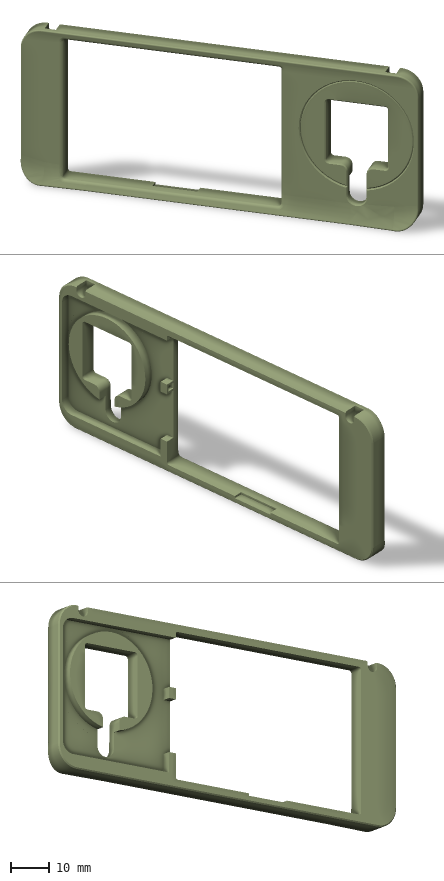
import cadquery as cq
import math


LENGTH = 109.0
HEIGHT = 44.6
DEPTH = 6.8
CORNER_RADIUS = 6.0
BACK_CHAMFER = 0.3
FRONT_FILLET = 0.3
BACK_Y = DEPTH / 2
BOTTOM_Z = -HEIGHT / 2
TOP_Z = HEIGHT / 2

TOLERANCE = 0.02

BODY_DEPTH = 5.0
PANEL_THICKNESS = 2.5
FRONT_Y = BACK_Y - BODY_DEPTH
PANEL_BACK_Y = FRONT_Y + PANEL_THICKNESS

FLARE_RADIUS = 11.7
FLARE_ANGLE = math.radians(40)
TOP_FLARE_Z = 19.2
BOTTOM_FLARE_STATIONS = [(36.0, -16.6), (48.0, -15.9), (LENGTH / 2, -14.7)]

WINDOW_LEFT = -43.0
WINDOW_RIGHT = 16.8
WINDOW_BOTTOM = -20.1
WINDOW_TOP = 20.2
WINDOW_CORNER_RADIUS = 0.7
WINDOW_FILLET = 1.0

LEDGE_RECESS_LEFT = -19.1
LEDGE_RECESS_RIGHT = -6.8
LEDGE_RECESS_DROP = 0.7

NOTCH_X = 46.7
NOTCH_WIDTH = 3.0
NOTCH_HEIGHT = 2.8
NOTCH_DEPTH = 3.9

POCKET_RIGHT = 53.2
POCKET_HALF_HEIGHT = 18.5
POCKET_CORNER_RADIUS = 3.3

TAB_WIDTH = 2.2
CORNER_TAB_TOP = -13.0
SIDE_TAB_BOTTOM = 1.7
SIDE_TAB_TOP = 4.8
SIDE_TAB_RIM = 0.7

DISC_X = 37.6
DISC_Z = 3.4
DISC_RADIUS = 15.6
DISC_SINK = 0.27
BOSS_RADIUS = 13.3

KEYHOLE_WIDTH = 17.0
KEYHOLE_BOTTOM = -5.7
KEYHOLE_TOP = 12.4
KEYHOLE_CORNER_RADIUS = 0.9
KEYHOLE_CHAMFER = 0.3
SLOT_WIDTH = 5.2
SLOT_BOTTOM = -16.8
SHOULDER_RADIUS = 1.9


def box(left, right, front, back, bottom, top):
    """Axis-aligned block given by its six limits."""
    size = (right - left, back - front, top - bottom)
    return cq.Workplane("XY").box(*size, centered=False).translate((left, front, bottom))


def flare_section(x, start_z, direction):
    """Closed YZ section of a lip: an arc that leaves the flat front and sweeps forward."""
    rise = FLARE_RADIUS * (1 - math.cos(FLARE_ANGLE))
    reach = FLARE_RADIUS * math.sin(FLARE_ANGLE)
    middle_rise = FLARE_RADIUS * (1 - math.cos(FLARE_ANGLE / 2))
    middle_reach = FLARE_RADIUS * math.sin(FLARE_ANGLE / 2)
    return (
        cq.Workplane("YZ", origin=(x, 0, 0))
        .moveTo(FRONT_Y, start_z)
        .threePointArc(
            (FRONT_Y - middle_rise, start_z + direction * middle_reach),
            (FRONT_Y - rise, start_z + direction * reach),
        )
        .lineTo(BACK_Y, start_z + direction * reach)
        .lineTo(BACK_Y, start_z)
        .close()
        .wires()
        .val()
    )


def make_flare(stations, direction):
    """Lip lofted straight through its stations of (x, z where the arc starts)."""
    sections = [flare_section(x, z, direction) for x, z in stations]
    return cq.Workplane(cq.Solid.makeLoft(sections, True))


def make_shell():
    """Rounded slab with flared lips, trimmed to the outline of the bezel."""
    outline = (
        cq.Workplane("XY").box(LENGTH, 2 * DEPTH, HEIGHT)
        .edges("|Y").fillet(CORNER_RADIUS)
    )
    left_stations = [(-x, z) for x, z in reversed(BOTTOM_FLARE_STATIONS)]
    top_stations = [(-LENGTH / 2, TOP_FLARE_Z), (LENGTH / 2, TOP_FLARE_Z)]
    slab = box(-LENGTH / 2, LENGTH / 2, FRONT_Y, BACK_Y, BOTTOM_Z, TOP_Z)
    slab = slab.union(make_flare(left_stations + BOTTOM_FLARE_STATIONS, -1))
    slab = slab.union(make_flare(top_stations, 1))
    return slab.intersect(outline)


def rounded_prism(left, right, bottom, top, radius):
    """Prism through the full depth with all four of its long edges rounded."""
    return box(left, right, -DEPTH, DEPTH, bottom, top).edges("|Y").fillet(radius)


def disc_cylinder(radius, front, back):
    """Cylinder on the disc axis between two depths."""
    return (
        cq.Workplane("XZ", origin=(DISC_X, front, DISC_Z))
        .circle(radius)
        .extrude(front - back)
    )


def make_window():
    """Display window opening."""
    return rounded_prism(WINDOW_LEFT, WINDOW_RIGHT, WINDOW_BOTTOM, WINDOW_TOP, WINDOW_CORNER_RADIUS)


def make_keyhole():
    """Rectangular opening with a round-ended slot below it."""
    half_width = KEYHOLE_WIDTH / 2
    half_slot = SLOT_WIDTH / 2
    rectangle = rounded_prism(
        DISC_X - half_width, DISC_X + half_width, KEYHOLE_BOTTOM, KEYHOLE_TOP, KEYHOLE_CORNER_RADIUS
    )
    slot = box(DISC_X - half_slot, DISC_X + half_slot, -DEPTH, DEPTH, SLOT_BOTTOM + half_slot, DISC_Z)
    slot_end = (
        cq.Workplane("XZ", origin=(DISC_X, -DEPTH, SLOT_BOTTOM + half_slot))
        .circle(half_slot)
        .extrude(-2 * DEPTH)
    )
    keyhole = rectangle.union(slot)
    shoulders = cq.selectors.BoxSelector(
        (DISC_X - half_slot - TOLERANCE, -2 * DEPTH, KEYHOLE_BOTTOM - TOLERANCE),
        (DISC_X + half_slot + TOLERANCE, 2 * DEPTH, KEYHOLE_BOTTOM + TOLERANCE),
    )
    return keyhole.edges("|Y").edges(shoulders).fillet(SHOULDER_RADIUS).union(slot_end)


def make_pocket():
    """Space behind the panel, less the tabs left standing at the window edge."""
    pocket = box(
        WINDOW_RIGHT, POCKET_RIGHT, PANEL_BACK_Y, BACK_Y, -POCKET_HALF_HEIGHT, POCKET_HALF_HEIGHT
    )
    pocket = pocket.edges("|Y and >X").fillet(POCKET_CORNER_RADIUS)
    tab_right = WINDOW_RIGHT + TAB_WIDTH
    corner_tab = box(WINDOW_RIGHT, tab_right, PANEL_BACK_Y, BACK_Y, BOTTOM_Z, CORNER_TAB_TOP)
    side_tab = box(WINDOW_RIGHT, tab_right, PANEL_BACK_Y, BACK_Y, SIDE_TAB_BOTTOM, SIDE_TAB_TOP)
    side_hollow = box(
        WINDOW_RIGHT,
        WINDOW_RIGHT + TAB_WIDTH / 2,
        PANEL_BACK_Y,
        BACK_Y - SIDE_TAB_RIM,
        SIDE_TAB_BOTTOM + SIDE_TAB_RIM,
        SIDE_TAB_TOP - SIDE_TAB_RIM,
    )
    return pocket.cut(corner_tab).cut(side_tab).union(side_hollow)


def make_notch(x):
    """Round-bottomed notch cut from the back into the top edge."""
    radius = NOTCH_WIDTH / 2
    return (
        cq.Workplane("XZ", origin=(x, BACK_Y, TOP_Z))
        .moveTo(-radius, 0)
        .lineTo(-radius, radius - NOTCH_HEIGHT)
        .threePointArc((0, -NOTCH_HEIGHT), (radius, radius - NOTCH_HEIGHT))
        .lineTo(radius, 0)
        .close()
        .extrude(NOTCH_DEPTH)
    )


def make_disc_rim():
    """Cone that chamfers the rim of the disc opening down to the sunken disc face."""
    return (
        cq.Workplane("XZ", origin=(DISC_X, FRONT_Y + DISC_SINK, DISC_Z))
        .circle(DISC_RADIUS)
        .workplane(offset=DISC_SINK)
        .circle(DISC_RADIUS + DISC_SINK)
        .loft()
    )


def on_front_rim(edge):
    """True for an edge that follows the outer outline along the front."""
    middle = edge.positionAt(0.5)
    beyond_x = max(abs(middle.x) - (LENGTH / 2 - CORNER_RADIUS), 0)
    beyond_z = max(abs(middle.z) - (HEIGHT / 2 - CORNER_RADIUS), 0)
    on_outline = math.hypot(beyond_x, beyond_z) > CORNER_RADIUS - TOLERANCE
    return on_outline and middle.y < FRONT_Y + TOLERANCE


def make_frame():
    """Bezel frame with its window, pocket, notches and opening for the disc."""
    frame = make_shell()
    frame = frame.faces(">Y").edges().chamfer(BACK_CHAMFER)
    front_rim = [edge for edge in frame.edges().vals() if on_front_rim(edge)]
    frame = frame.newObject(front_rim).fillet(FRONT_FILLET)
    frame = frame.cut(make_window())
    window_rim = cq.selectors.BoxSelector(
        (WINDOW_LEFT - TOLERANCE, -DEPTH, WINDOW_BOTTOM - TOLERANCE),
        (WINDOW_RIGHT + TOLERANCE, FRONT_Y + TOLERANCE, WINDOW_TOP + TOLERANCE),
    )
    frame = frame.edges(window_rim).fillet(WINDOW_FILLET)
    frame = frame.cut(make_pocket())
    for x in (-NOTCH_X, NOTCH_X):
        frame = frame.cut(make_notch(x))
    frame = frame.cut(box(
        LEDGE_RECESS_LEFT,
        LEDGE_RECESS_RIGHT,
        PANEL_BACK_Y,
        BACK_Y,
        WINDOW_BOTTOM - LEDGE_RECESS_DROP,
        WINDOW_BOTTOM,
    ))
    frame = frame.cut(disc_cylinder(DISC_RADIUS, FRONT_Y, PANEL_BACK_Y)).cut(make_disc_rim())
    frame = frame.cut(make_keyhole())
    slot_rim = cq.selectors.BoxSelector(
        (DISC_X - SLOT_WIDTH, FRONT_Y - TOLERANCE, SLOT_BOTTOM - TOLERANCE),
        (DISC_X + SLOT_WIDTH, FRONT_Y + TOLERANCE, DISC_Z - DISC_RADIUS - DISC_SINK),
    )
    return frame.edges(slot_rim).chamfer(KEYHOLE_CHAMFER)


def make_disc():
    """Sunken disc with a round boss behind it, pierced by the keyhole."""
    disc = disc_cylinder(DISC_RADIUS, FRONT_Y + DISC_SINK, PANEL_BACK_Y)
    disc = disc.union(disc_cylinder(BOSS_RADIUS, PANEL_BACK_Y, BACK_Y))
    disc = disc.cut(make_keyhole())
    keyhole_rim = cq.selectors.BoxSelector(
        (DISC_X - KEYHOLE_WIDTH, FRONT_Y, KEYHOLE_BOTTOM - DISC_RADIUS),
        (DISC_X + KEYHOLE_WIDTH, FRONT_Y + DISC_SINK + TOLERANCE, KEYHOLE_TOP + TOLERANCE),
    )
    return disc.edges(keyhole_rim).chamfer(KEYHOLE_CHAMFER)


frame = make_frame()
disc = make_disc()
result = cq.Compound.makeCompound([frame.solids().val(), disc.solids().val()])